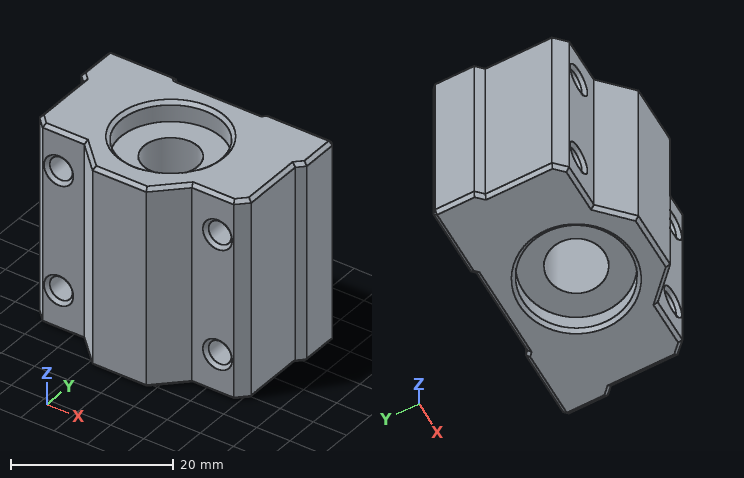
import cadquery as cq

WIDTH = 34.0
DEPTH = 22.0
HEIGHT = 30.0
EDGE_CHAMFER = 0.5

BACK_Y = DEPTH / 2
FRONT_Y = -DEPTH / 2
FLANGE_THICKNESS = 6.02
SIDE_STEP = 1.02
SHOULDER_DROP = 4.0
SHOULDER_CHAMFER = 1.55
NOSE_WIDTH = 8.1
NOSE_RUN = 4.08
GROOVE_WIDTH = 12.92
GROOVE_DEPTH = 0.5

BEARING_DIAMETER = 15.0
SHAFT_DIAMETER = 8.0
BEARING_RECESS = 3.0
BEARING_LENGTH = HEIGHT - 2 * BEARING_RECESS

HOLE_DIAMETER = 3.4
HOLE_MOUTH_DIAMETER = 4.42
HOLE_SPACING_X = 23.97
HOLE_SPACING_Z = 18.0


def housing_block():
    """Extruded stepped profile with chamfered rear corners and end edges."""
    half_width = WIDTH / 2
    body_half_width = half_width - SIDE_STEP
    shoulder_y = FRONT_Y + SHOULDER_DROP
    step_y = BACK_Y - FLANGE_THICKNESS
    half_groove = GROOVE_WIDTH / 2
    right_side = [
        (half_groove, BACK_Y - GROOVE_DEPTH),
        (half_groove + GROOVE_DEPTH, BACK_Y),
        (half_width, BACK_Y),
        (half_width, step_y),
        (body_half_width, step_y - SIDE_STEP),
        (body_half_width, shoulder_y + SHOULDER_CHAMFER),
        (body_half_width - SHOULDER_CHAMFER, shoulder_y),
        (NOSE_WIDTH / 2 + NOSE_RUN, shoulder_y),
        (NOSE_WIDTH / 2, FRONT_Y),
    ]
    left_side = [(-x, y) for x, y in reversed(right_side)]
    block = (
        cq.Workplane("XY")
        .workplane(offset=-HEIGHT / 2)
        .polyline(right_side + left_side)
        .close()
        .extrude(HEIGHT)
    )
    rear_corners = cq.selectors.BoxSelector(
        (-WIDTH, BACK_Y - EDGE_CHAMFER, -HEIGHT), (-half_width + EDGE_CHAMFER, WIDTH, HEIGHT)
    ) + cq.selectors.BoxSelector(
        (half_width - EDGE_CHAMFER, BACK_Y - EDGE_CHAMFER, -HEIGHT), (WIDTH, WIDTH, HEIGHT)
    )
    edges = block.faces("|Z").edges().add(block.edges("|Z").edges(rear_corners))
    return edges.chamfer(EDGE_CHAMFER)


def bearing_seat():
    """Cutter for the through bore of the housing, chamfered at both ends."""
    radius = BEARING_DIAMETER / 2
    mouth_radius = radius + EDGE_CHAMFER
    end_z = HEIGHT / 2
    return (
        cq.Workplane("XZ")
        .polyline([
            (0, -end_z),
            (mouth_radius, -end_z),
            (radius, -end_z + EDGE_CHAMFER),
            (radius, end_z - EDGE_CHAMFER),
            (mouth_radius, end_z),
            (0, end_z),
        ])
        .close()
        .revolve(360, (0, 0), (0, 1))
    )


def mounting_hole(x, z):
    """Cutter for a through hole along Y, with a chamfered mouth on the front shoulder."""
    radius = HOLE_DIAMETER / 2
    mouth_radius = HOLE_MOUTH_DIAMETER / 2
    mouth_y = FRONT_Y + SHOULDER_DROP
    hole = cq.Solid.makeCylinder(radius, DEPTH, cq.Vector(x, FRONT_Y, z), cq.Vector(0, 1, 0))
    mouth = cq.Solid.makeCone(
        mouth_radius, radius, mouth_radius - radius, cq.Vector(x, mouth_y, z), cq.Vector(0, 1, 0)
    )
    return hole.fuse(mouth)


def make_housing():
    body = housing_block().cut(bearing_seat())
    for x in (-HOLE_SPACING_X / 2, HOLE_SPACING_X / 2):
        for z in (-HOLE_SPACING_Z / 2, HOLE_SPACING_Z / 2):
            body = body.cut(cq.Workplane(mounting_hole(x, z)))
    return body


def make_bearing():
    return (
        cq.Workplane("XY")
        .workplane(offset=-BEARING_LENGTH / 2)
        .circle(BEARING_DIAMETER / 2)
        .circle(SHAFT_DIAMETER / 2)
        .extrude(BEARING_LENGTH)
    )


housing = make_housing()
bearing = make_bearing()
result = cq.Compound.makeCompound([housing.solids().val(), bearing.val()])